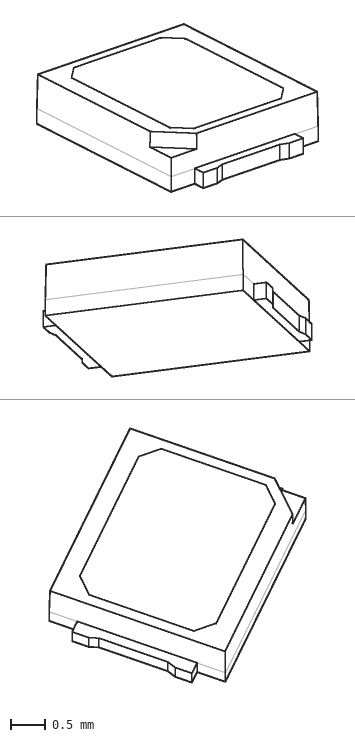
import cadquery as cq

overall_length = 3.5
body_length = 3.1
body_width = 2.8
total_height = 0.8
base_height = 0.252

wall_taper = 0.0095
corner_cut_leg = 0.5
corner_cut_depth = 0.252

lens_length = 2.77
lens_width = 2.165
lens_chamfer = 0.252

terminal_width = 1.905
terminal_pad_width = 0.265
terminal_slope_width = 0.14
terminal_recess = 0.05

upper_height = total_height - base_height
lens_depth = upper_height


def make_lens():
    """Rectangular lens with chamfered corners, from the base to the top face."""
    return (
        cq.Workplane("XY", origin=(0, 0, total_height - lens_depth))
        .rect(lens_length, lens_width)
        .extrude(lens_depth)
        .edges("|Z")
        .chamfer(lens_chamfer)
    )


def make_corner_cutter():
    """Triangular prism that notches the top of the +X, -Y corner."""
    corner_x = body_length / 2
    corner_y = -body_width / 2
    return (
        cq.Workplane("XY", origin=(0, 0, total_height - corner_cut_depth))
        .moveTo(corner_x, corner_y)
        .lineTo(corner_x, corner_y + corner_cut_leg)
        .lineTo(corner_x - corner_cut_leg, corner_y)
        .close()
        .extrude(corner_cut_depth)
    )


def make_housing(lens):
    """Straight base and tapered walls, with a corner notch and the lens cavity."""
    base = (
        cq.Workplane("XY")
        .rect(body_length, body_width)
        .extrude(base_height)
    )
    upper = (
        cq.Workplane("XY", origin=(0, 0, base_height))
        .rect(body_length, body_width)
        .workplane(offset=upper_height)
        .rect(body_length - 2 * wall_taper, body_width - 2 * wall_taper)
        .loft(ruled=True)
    )
    return base.union(upper).cut(make_corner_cutter()).cut(lens)


def make_terminal(side):
    """Terminal on the housing end at side * X, its outer face recessed mid-width."""
    inner_x = side * body_length / 2
    outer_x = side * overall_length / 2
    recess_x = side * (overall_length / 2 - terminal_recess)
    end_y = terminal_width / 2
    pad_y = end_y - terminal_pad_width
    recess_y = pad_y - terminal_slope_width
    outline = [
        (inner_x, -end_y),
        (outer_x, -end_y),
        (outer_x, -pad_y),
        (recess_x, -recess_y),
        (recess_x, recess_y),
        (outer_x, pad_y),
        (outer_x, end_y),
        (inner_x, end_y),
    ]
    return cq.Workplane("XY").polyline(outline).close().extrude(base_height)


lens = make_lens()
housing = make_housing(lens)
terminals = [make_terminal(side) for side in (-1, 1)]

result = cq.Compound.makeCompound(
    [housing.val(), lens.val(), *[terminal.val() for terminal in terminals]]
)